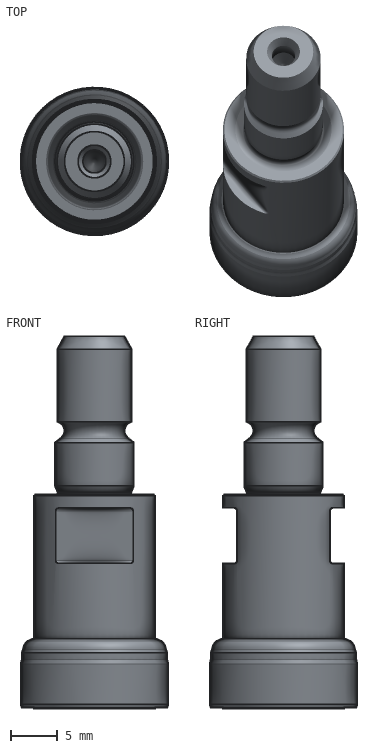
import cadquery as cq
import math

TOTAL_LENGTH = 40.0
FOOT_HEIGHT = 0.1
COLLAR_TOP = 7.5
BODY_TOP = 23.0

COLLAR_RADIUS = 15.9 / 2
COLLAR_STEP_RADIUS = 7.8
COLLAR_STEP_BOTTOM = 5.3
COLLAR_STEP_TOP = 6.05
COLLAR_EDGE = 0.1
COLLAR_EDGE_TOP = 0.5
COLLAR_STRAIGHT_TOP = 4.85
SHOULDER_RADIUS = 7.7
SHOULDER_BOTTOM = 6.4
SHOULDER_MID = (7.5, 6.9)
SHOULDER_RIM = (7.15, 7.3)
COLLAR_TOP_RADIUS = 6.65

BODY_RADIUS = 13.0 / 2
BODY_CHAMFER = 0.15
FLAT_DISTANCE = 5.0
FLAT_BOTTOM = 15.6
FLAT_TOP = 21.55
FLAT_CORNER_RADIUS = 0.3

BAND_RADIUS = 4.25
RELIEF_TOP = 23.25
BAND_BOTTOM = 23.9
BAND_TOP = 28.55
STUD_RADIUS = 4.0
TIP_RADIUS = 3.2
TIP_LENGTH = 1.45

NECK_RADIUS = 3.25
GROOVE_RADIUS = 1.0
GROOVE_SLOPE = math.radians(38.6)

RECESS_NECK_RADIUS = 3.95
RECESS_MOUTH_RADIUS = 5.15
RECESS_FILLET = 0.35
RECESS_SLOPE = math.radians(15)

HOLE_RADIUS = 1.25
HOLE_DEPTH = 2.4
COUNTERSINK_RADIUS = 1.75
COUNTERSINK_HALF_ANGLE = math.radians(30)
DRILL_HALF_ANGLE = math.radians(59)


def neck_arc_point(neck_radius, arc_radius, center_z, angle):
    """Point on an arc touching a neck, at an angle above the inward radial direction."""
    radius = neck_radius + arc_radius * (1 - math.cos(angle))
    return radius, center_z + arc_radius * math.sin(angle)


def groove_point(center_z, angle):
    return neck_arc_point(NECK_RADIUS, GROOVE_RADIUS, center_z, angle)


def recess_point(center_z, angle):
    return neck_arc_point(RECESS_NECK_RADIUS, RECESS_FILLET, center_z, angle)


def turned_body():
    recess_angle = -math.pi / 2 - RECESS_SLOPE
    recess_tangent_radius, recess_rise = recess_point(0, recess_angle)
    recess_drop = (RECESS_MOUTH_RADIUS - recess_tangent_radius) * math.tan(RECESS_SLOPE)
    recess_z = BODY_TOP - recess_drop - recess_rise

    groove_angle = GROOVE_SLOPE - math.pi / 2
    groove_tangent_radius, groove_rise = groove_point(0, groove_angle)
    cone_height = (BAND_RADIUS - groove_tangent_radius) * math.tan(GROOVE_SLOPE)
    groove_z = BAND_TOP + cone_height - groove_rise
    groove_end_angle = math.acos(1 - (STUD_RADIUS - NECK_RADIUS) / GROOVE_RADIUS)

    profile = (
        cq.Workplane("XZ")
        .lineTo(BODY_RADIUS, 0)
        .lineTo(BODY_RADIUS, FOOT_HEIGHT)
        .lineTo(COLLAR_RADIUS - COLLAR_EDGE, FOOT_HEIGHT)
        .lineTo(COLLAR_RADIUS, COLLAR_EDGE_TOP)
        .lineTo(COLLAR_RADIUS, COLLAR_STRAIGHT_TOP)
        .lineTo(COLLAR_STEP_RADIUS, COLLAR_STEP_BOTTOM)
        .lineTo(COLLAR_STEP_RADIUS, COLLAR_STEP_TOP)
        .lineTo(SHOULDER_RADIUS, SHOULDER_BOTTOM)
        .threePointArc(SHOULDER_MID, SHOULDER_RIM)
        .lineTo(COLLAR_TOP_RADIUS, COLLAR_TOP)
        .lineTo(BODY_RADIUS, COLLAR_TOP)
        .lineTo(BODY_RADIUS, BODY_TOP - BODY_CHAMFER)
        .lineTo(BODY_RADIUS - BODY_CHAMFER, BODY_TOP)
        .lineTo(RECESS_MOUTH_RADIUS, BODY_TOP)
        .lineTo(*recess_point(recess_z, recess_angle))
        .threePointArc(recess_point(recess_z, recess_angle / 2), recess_point(recess_z, 0))
        .lineTo(RECESS_NECK_RADIUS, RELIEF_TOP)
        .lineTo(BAND_RADIUS, BAND_BOTTOM)
        .lineTo(BAND_RADIUS, BAND_TOP)
        .lineTo(*groove_point(groove_z, groove_angle))
        .threePointArc(groove_point(groove_z, 0), groove_point(groove_z, groove_end_angle))
        .lineTo(STUD_RADIUS, TOTAL_LENGTH - TIP_LENGTH)
        .lineTo(TIP_RADIUS, TOTAL_LENGTH)
        .lineTo(0, TOTAL_LENGTH)
        .close()
    )
    return profile.revolve(360, (0, 0, 0), (0, 1, 0))


def flat_cutter(side):
    """Block that cuts one wrench flat, on the +Y (1) or -Y (-1) side."""
    block_size = 2 * BODY_RADIUS
    return (
        cq.Workplane("XY")
        .box(block_size, block_size, FLAT_TOP - FLAT_BOTTOM)
        .edges("|X")
        .fillet(FLAT_CORNER_RADIUS)
        .translate((0, side * (FLAT_DISTANCE + BODY_RADIUS), (FLAT_BOTTOM + FLAT_TOP) / 2))
    )


def center_hole():
    countersink_depth = (COUNTERSINK_RADIUS - HOLE_RADIUS) / math.tan(COUNTERSINK_HALF_ANGLE)
    drill_point_length = HOLE_RADIUS / math.tan(DRILL_HALF_ANGLE)
    return (
        cq.Workplane("XZ")
        .moveTo(0, TOTAL_LENGTH)
        .lineTo(COUNTERSINK_RADIUS, TOTAL_LENGTH)
        .lineTo(HOLE_RADIUS, TOTAL_LENGTH - countersink_depth)
        .lineTo(HOLE_RADIUS, TOTAL_LENGTH - HOLE_DEPTH)
        .lineTo(0, TOTAL_LENGTH - HOLE_DEPTH - drill_point_length)
        .close()
        .revolve(360, (0, 0, 0), (0, 1, 0))
    )


result = turned_body().cut(center_hole())
for flat_side in (-1, 1):
    result = result.cut(flat_cutter(flat_side))